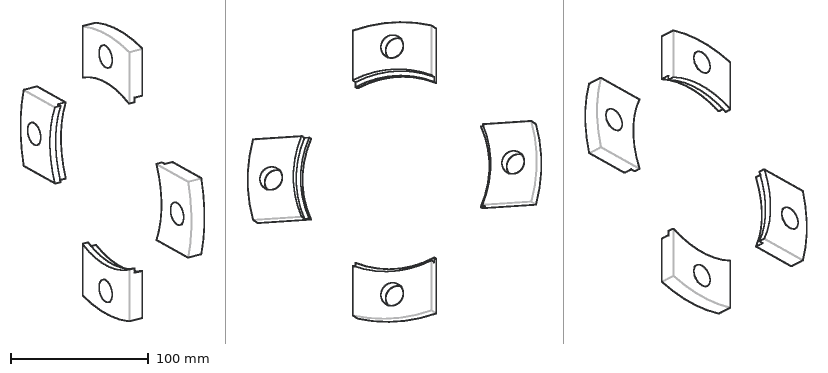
import cadquery as cq

PAD_COUNT = 4
FULL_TURN = 360
OUTER_RADIUS = 110.0
INNER_RADIUS = 71.7
REBATE_RADIUS = 75.0
PAD_WIDTH = 60.0
PAD_THICKNESS = 12.0
LIP_THICKNESS = 5.0
HOLE_DIAMETER = 17.0
HOLE_CENTER_RADIUS = 92.0
EDGE_FILLET = 0.5

FRONT_Y = -PAD_THICKNESS / 2
LIP_BACK_Y = FRONT_Y + LIP_THICKNESS
BACK_Y = PAD_THICKNESS / 2


def cylinder_along_y(radius, start_y, end_y, center_z=0.0):
    """Cylinder parallel to Y, spanning start_y to end_y."""
    length = end_y - start_y
    solid = cq.Solid.makeCylinder(
        radius, length, cq.Vector(0, start_y, center_z), cq.Vector(0, 1, 0))
    return cq.Workplane(solid)


def pad_blank():
    """Flat-sided block with a curved outer face, rounded along its outside edges."""
    disc = cylinder_along_y(OUTER_RADIUS, FRONT_Y, BACK_Y)
    upper_strip = cq.Workplane().box(
        PAD_WIDTH, PAD_THICKNESS, OUTER_RADIUS, centered=(True, True, False))
    rounded_corners = disc.intersect(upper_strip).edges("|Y").fillet(EDGE_FILLET)
    return rounded_corners.faces("<Y or >Y").edges().fillet(EDGE_FILLET)


def make_pad():
    """Pad at the top of the ring: stepped inner face and one through hole."""
    inner_bore = cylinder_along_y(INNER_RADIUS, FRONT_Y, BACK_Y)
    rebate = cylinder_along_y(REBATE_RADIUS, LIP_BACK_Y, BACK_Y)
    hole = cylinder_along_y(HOLE_DIAMETER / 2, FRONT_Y, BACK_Y, HOLE_CENTER_RADIUS)
    return pad_blank().cut(inner_bore).cut(rebate).cut(hole)


pads = []
for index in range(PAD_COUNT):
    angle = index * FULL_TURN / PAD_COUNT
    pads.append(make_pad().rotate((0, 0, 0), (0, 1, 0), angle))

result = cq.Compound.makeCompound([pad.val() for pad in pads])